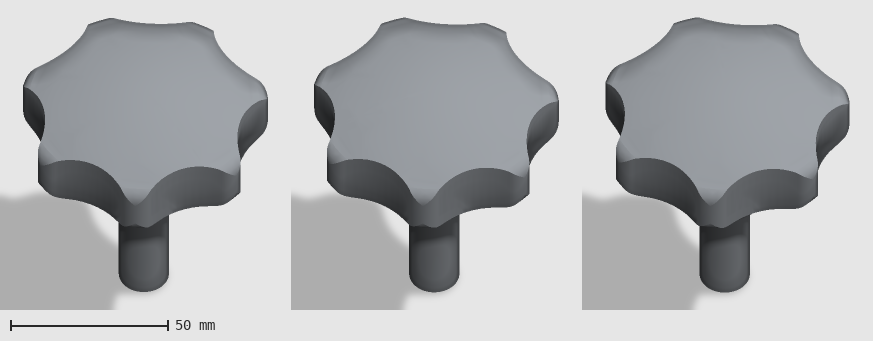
import cadquery as cq
import math

total_height = 90.0
stud_length = 40.0
head_height = 25.0
head_base = total_height - head_height

stud_diameter = 16.0
stud_chamfer = 1.0

hub_top_diameter = 27.6
hub_bottom_diameter = 25.0

lobe_count = 7
head_radius = 40.0
lobe_radius = 5.0
valley_radius = 32.1
rim_round = 5.0
dome_radius = 100.0
lobe_pitch = 2 * math.pi / lobe_count
first_lobe_angle = -math.pi / 2


def polar(radius, angle):
    return (radius * math.cos(angle), radius * math.sin(angle))


def star_outline():
    """Closed outline of round lobes joined tangentially by concave arcs."""
    lobe_center = head_radius - lobe_radius
    half_pitch = lobe_pitch / 2
    inner_offset = valley_radius - lobe_radius
    scallop_center = (lobe_center**2 - inner_offset**2) / (
        2 * (lobe_center * math.cos(half_pitch) - inner_offset)
    )
    contact_angle = math.atan2(
        scallop_center * math.sin(half_pitch),
        scallop_center * math.cos(half_pitch) - lobe_center,
    )
    contact_x = lobe_center + lobe_radius * math.cos(contact_angle)
    contact_y = lobe_radius * math.sin(contact_angle)
    contact_radius = math.hypot(contact_x, contact_y)
    contact_spread = math.atan2(contact_y, contact_x)

    outline = cq.Workplane("XY").moveTo(*polar(contact_radius, first_lobe_angle - contact_spread))
    for index in range(lobe_count):
        angle = first_lobe_angle + index * lobe_pitch
        outline = outline.threePointArc(
            polar(head_radius, angle), polar(contact_radius, angle + contact_spread)
        )
        outline = outline.threePointArc(
            polar(valley_radius, angle + half_pitch),
            polar(contact_radius, angle + lobe_pitch - contact_spread),
        )
    return outline.close()


def domed_blank():
    """Revolved head envelope: rounded bottom edge and a dome blending smoothly into the rim."""
    round_center_x = head_radius - rim_round
    dome_center_z = total_height - dome_radius
    blend_angle = math.asin(round_center_x / (dome_radius - rim_round))
    round_center_z = dome_center_z + (dome_radius - rim_round) * math.cos(blend_angle)

    def dome_point(angle):
        return (dome_radius * math.sin(angle), dome_center_z + dome_radius * math.cos(angle))

    profile = (
        cq.Workplane("XZ")
        .moveTo(0, head_base)
        .lineTo(round_center_x, head_base)
        .radiusArc((head_radius, head_base + rim_round), -rim_round)
        .lineTo(head_radius, round_center_z)
        .radiusArc(dome_point(blend_angle), -rim_round)
        .threePointArc(dome_point(blend_angle / 2), (0, total_height))
        .close()
    )
    return profile.revolve(360, (0, 0, 0), (0, 1, 0))


def star_head():
    prism = star_outline().extrude(head_height).translate((0, 0, head_base))
    return prism.intersect(domed_blank())


def tapered_hub():
    return (
        cq.Workplane("XY", origin=(0, 0, stud_length))
        .circle(hub_bottom_diameter / 2)
        .workplane(offset=head_base - stud_length)
        .circle(hub_top_diameter / 2)
        .loft()
    )


def stud():
    shank = cq.Workplane("XY").circle(stud_diameter / 2).extrude(stud_length)
    return shank.faces("<Z").chamfer(stud_chamfer)


result = star_head().union(tapered_hub()).union(stud())